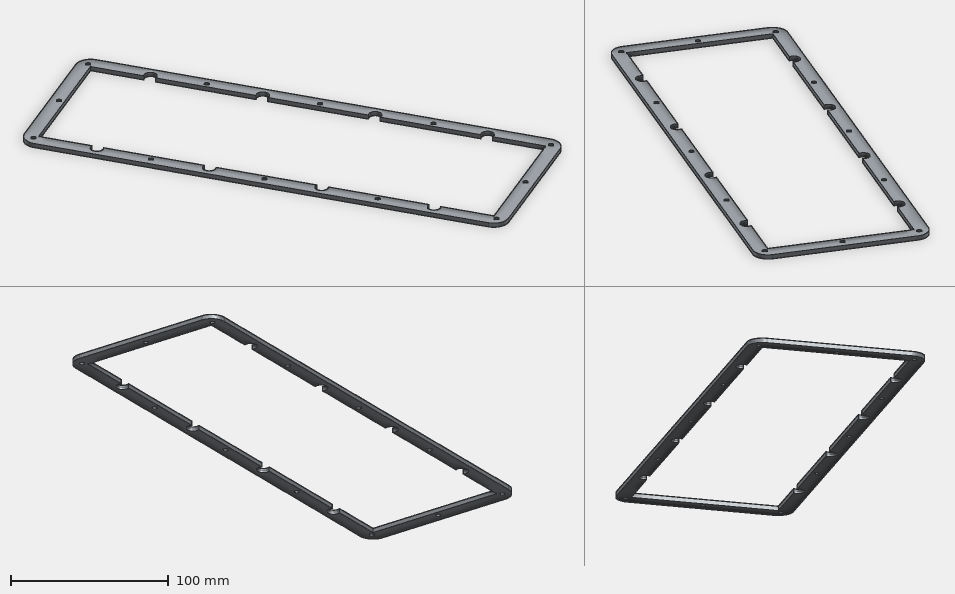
import cadquery as cq

length = 326.0
width = 116.3
thickness = 3.0
border = 9.8
corner_radius = 10.0

hole_diameter = 3.3
corner_hole_x = 155.8
corner_hole_y = 51.0
end_hole_x = 157.0
side_hole_pitch = 76.2
side_hole_y = 52.0
holes_per_side = 3

notch_diameter = 8.5
notch_pitch = 75.5
notch_y = 50.2
notches_per_side = 4


def make_frame():
    """Flat rectangular frame with rounded outer corners and a sharp window."""
    plate = cq.Workplane("XY").box(length, width, thickness).edges("|Z").fillet(corner_radius)
    window = cq.Workplane("XY").box(length - 2 * border, width - 2 * border, thickness)
    return plate.cut(window)


def round_cutters(centers, diameter):
    """Cylinders through the full thickness at the given centers."""
    cutters = cq.Workplane("XY").pushPoints(centers).circle(diameter / 2)
    return cutters.extrude(thickness, both=True)


def row_positions(count, pitch):
    """Evenly spaced X positions centered on the frame."""
    return [(i - (count - 1) / 2) * pitch for i in range(count)]


hole_centers = [(-end_hole_x, 0), (end_hole_x, 0)]
notch_centers = []
for side in (-1, 1):
    hole_centers += [(x, side * corner_hole_y) for x in (-corner_hole_x, corner_hole_x)]
    hole_centers += [(x, side * side_hole_y) for x in row_positions(holes_per_side, side_hole_pitch)]
    notch_centers += [(x, side * notch_y) for x in row_positions(notches_per_side, notch_pitch)]

result = (
    make_frame()
    .cut(round_cutters(hole_centers, hole_diameter))
    .cut(round_cutters(notch_centers, notch_diameter))
)